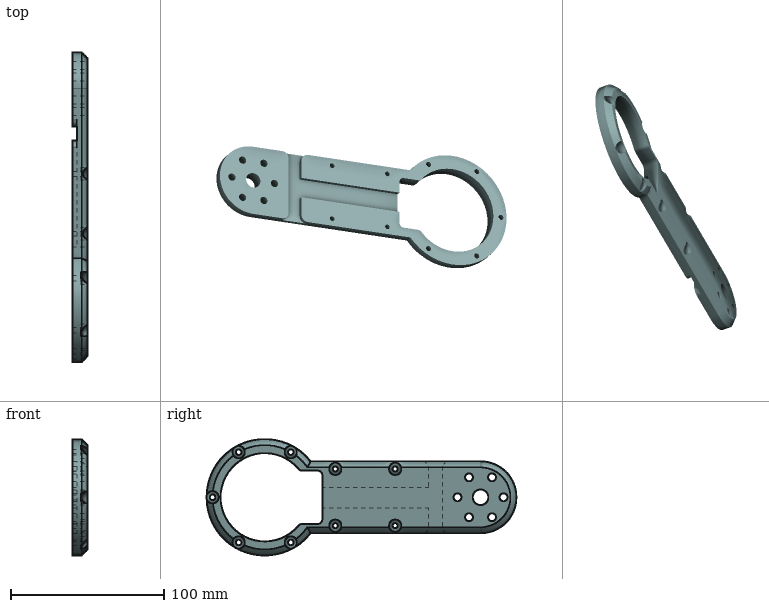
import cadquery as cq
import math

THICKNESS = 10.0
EDGE_CHAMFER = 4.0
ARM_WIDTH = 47.0
ARM_RADIUS = ARM_WIDTH / 2
OVERALL_LENGTH = 202.12

RING_RADIUS = 38.0
RING_BORE_RADIUS = 28.7
WINDOW_LENGTH = 37.5
WINDOW_WIDTH = 34.6
WINDOW_CORNER_RADIUS = 3.0
WINDOW_MOUTH_RADIUS = 3.0

HUB_Y = OVERALL_LENGTH - RING_RADIUS - ARM_RADIUS
HUB_BORE_DIAMETER = 10.0
HUB_HOLE_DIAMETER = 5.0
HUB_HOLE_CIRCLE_RADIUS = 15.0
HUB_HOLE_COUNT = 6

CHANNEL_DEPTH = 3.0
BAND_START_Y = HUB_Y - 25.0
BAND_WIDTH = 9.0
BAND_END_Y = BAND_START_Y - BAND_WIDTH
BAND_CORNER_RADIUS = 4.5
GROOVE_WIDTH = 13.4

COUNTERBORE_DIAMETER = 8.05
COUNTERBORE_DEPTH = 4.5
RING_SCREW_DIAMETER = 3.5
RING_SCREW_CIRCLE_RADIUS = 34.0
RING_SCREW_ANGLES = (-120, -60, 0, 60, 120)
ARM_SCREW_DIAMETER = 3.2
ARM_SCREW_Z = 18.5
ARM_SCREW_YS = (46.0, 85.0)


def on_plane(x=0.0):
    """Sketch plane at the given X, with Y and Z as its local axes."""
    return cq.Workplane("YZ", origin=(x, 0, 0))


def make_ring_disc():
    disc = on_plane().circle(RING_RADIUS).extrude(THICKNESS)
    return disc.faces(">X").edges().chamfer(EDGE_CHAMFER)


def make_arm():
    arm = (
        on_plane()
        .moveTo(0, -ARM_RADIUS)
        .lineTo(HUB_Y, -ARM_RADIUS)
        .threePointArc((HUB_Y + ARM_RADIUS, 0), (HUB_Y, ARM_RADIUS))
        .lineTo(0, ARM_RADIUS)
        .close()
        .extrude(THICKNESS)
    )
    outer_edges = arm.faces(">X").edges("not <Y")
    return outer_edges.chamfer(EDGE_CHAMFER)


def make_window():
    bore = on_plane().circle(RING_BORE_RADIUS).extrude(THICKNESS)
    slot = (
        on_plane()
        .center(WINDOW_LENGTH / 2, 0)
        .rect(WINDOW_LENGTH, WINDOW_WIDTH)
        .extrude(THICKNESS)
        .edges("|X and >Y")
        .fillet(WINDOW_CORNER_RADIUS)
    )
    mouth_y = math.sqrt(RING_BORE_RADIUS**2 - (WINDOW_WIDTH / 2) ** 2)
    half_box = WINDOW_MOUTH_RADIUS / 2
    mouth_edges = cq.selectors.BoxSelector(
        (-THICKNESS, mouth_y - half_box, -WINDOW_WIDTH),
        (2 * THICKNESS, mouth_y + half_box, WINDOW_WIDTH),
    )
    return bore.union(slot).edges("|X").edges(mouth_edges).fillet(WINDOW_MOUTH_RADIUS)


def make_band():
    """Band across the arm, flared at both sides where the pad corners are rounded."""
    half_width = ARM_RADIUS
    r = BAND_CORNER_RADIUS
    band = (
        on_plane()
        .center((BAND_START_Y + BAND_END_Y) / 2, 0)
        .rect(BAND_WIDTH, ARM_WIDTH)
        .extrude(CHANNEL_DEPTH)
    )
    for side in (-1, 1):
        for corner_y, away in ((BAND_START_Y, 1), (BAND_END_Y, -1)):
            arc_mid_y = corner_y + away * r * (1 - math.cos(math.pi / 4))
            arc_mid_z = side * (half_width - r * (1 - math.sin(math.pi / 4)))
            flare = (
                on_plane()
                .moveTo(corner_y, side * (half_width - r))
                .threePointArc((arc_mid_y, arc_mid_z), (corner_y + away * r, side * half_width))
                .lineTo(corner_y, side * half_width)
                .close()
                .extrude(CHANNEL_DEPTH)
            )
            band = band.union(flare)
    return band


def make_groove():
    return (
        on_plane()
        .center(BAND_END_Y / 2, 0)
        .rect(BAND_END_Y, GROOVE_WIDTH)
        .extrude(CHANNEL_DEPTH)
    )


def cut_hub_holes(body):
    hub = on_plane().center(HUB_Y, 0)
    bore = hub.circle(HUB_BORE_DIAMETER / 2).extrude(THICKNESS)
    holes = (
        hub.polarArray(HUB_HOLE_CIRCLE_RADIUS, 0, 360, HUB_HOLE_COUNT)
        .circle(HUB_HOLE_DIAMETER / 2)
        .extrude(THICKNESS)
    )
    return body.cut(bore).cut(holes)


def cut_screw_holes(body, points, diameter):
    shanks = on_plane().pushPoints(points).circle(diameter / 2).extrude(THICKNESS)
    heads = (
        on_plane(THICKNESS - COUNTERBORE_DEPTH)
        .pushPoints(points)
        .circle(COUNTERBORE_DIAMETER / 2)
        .extrude(COUNTERBORE_DEPTH)
    )
    return body.cut(shanks).cut(heads)


ring_screw_points = [
    (
        -RING_SCREW_CIRCLE_RADIUS * math.cos(math.radians(angle)),
        RING_SCREW_CIRCLE_RADIUS * math.sin(math.radians(angle)),
    )
    for angle in RING_SCREW_ANGLES
]
arm_screw_points = [(y, side * ARM_SCREW_Z) for y in ARM_SCREW_YS for side in (-1, 1)]

result = make_arm().union(make_ring_disc())
result = result.cut(make_window())
result = result.cut(make_band())
result = result.cut(make_groove())
result = cut_hub_holes(result)
result = cut_screw_holes(result, ring_screw_points, RING_SCREW_DIAMETER)
result = cut_screw_holes(result, arm_screw_points, ARM_SCREW_DIAMETER)